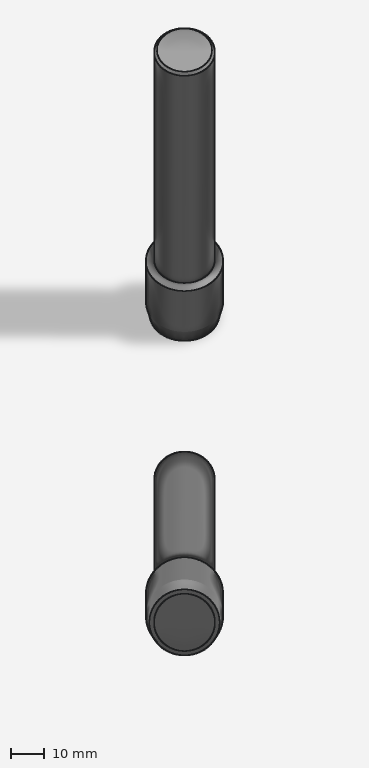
import cadquery as cq

pin_length = 125.0
pin_radius = 9.0
pin_chamfer = 0.9

sleeve_radius = 22.9 / 2
sleeve_foot_radius = 10.4
sleeve_taper_height = 5.6
sleeve_shoulder_height = 25.0
sleeve_top_rise = 0.8
sleeve_height = sleeve_shoulder_height + sleeve_top_rise


def make_pin():
    """Round rod with a chamfered top rim."""
    rod = cq.Workplane("XY").circle(pin_radius).extrude(pin_length)
    return rod.faces(">Z").chamfer(pin_chamfer)


def make_sleeve():
    """Turned collar: tapered foot, straight wall, gently coned top and a through bore for the pin."""
    half_section = (
        cq.Workplane("XZ")
        .moveTo(pin_radius, 0)
        .lineTo(sleeve_foot_radius, 0)
        .lineTo(sleeve_radius, sleeve_taper_height)
        .lineTo(sleeve_radius, sleeve_shoulder_height)
        .lineTo(pin_radius, sleeve_height)
        .close()
    )
    collar = half_section.revolve(360, (0, 0, 0), (0, 1, 0))
    return collar.rotate((0, 0, 0), (0, 0, 1), -90)


pin = make_pin()
sleeve = make_sleeve()

result = cq.Compound.makeCompound([pin.val(), sleeve.val()])